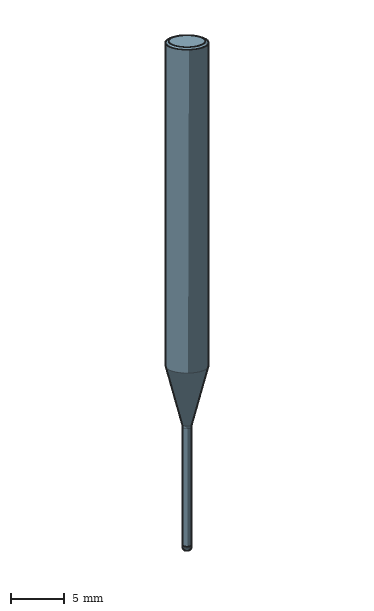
import cadquery as cq
import math

total_length = 50.0
shank_radius = 2.0
chamfer_width = 0.3
chamfer_height = 0.15

neck_radius = 0.425
cone_half_angle = math.radians(15)
shank_bottom = 18.15
blend_radius = 1.0

head_radius = 0.45
head_height = 0.55

cone_bottom = shank_bottom - (shank_radius - neck_radius) / math.tan(cone_half_angle)
blend_tangent = blend_radius * math.tan(cone_half_angle / 2)


def arc_point(center_radius, center_z, radius, angle):
    """Point on a profile arc, with the angle measured from the outward radial direction."""
    return center_radius + radius * math.cos(angle), center_z + radius * math.sin(angle)


def revolve_profile(profile):
    """Turn a closed half profile, drawn as (radius, height), around the Z axis."""
    return profile.close().revolve(360, (0, 0, 0), (0, 1, 0))


def make_shank():
    """Chamfered shank, cone and neck, with a concave blend between cone and neck."""
    blend_bottom = cone_bottom - blend_tangent
    blend_center_radius = neck_radius + blend_radius
    blend_middle = arc_point(
        blend_center_radius, blend_bottom, blend_radius, math.pi - cone_half_angle / 2
    )
    blend_top = arc_point(
        blend_center_radius, blend_bottom, blend_radius, math.pi - cone_half_angle
    )
    profile = (
        cq.Workplane("XZ")
        .moveTo(0, head_height)
        .lineTo(neck_radius, head_height)
        .lineTo(neck_radius, blend_bottom)
        .threePointArc(blend_middle, blend_top)
        .lineTo(shank_radius, shank_bottom)
        .lineTo(shank_radius, total_length - chamfer_height)
        .lineTo(shank_radius - chamfer_width, total_length)
        .lineTo(0, total_length)
    )
    return revolve_profile(profile)


def make_cutting_head():
    """Ball-nosed head that touches the lower end of the neck."""
    ball_middle = arc_point(0, head_radius, head_radius, -math.pi / 4)
    profile = (
        cq.Workplane("XZ")
        .moveTo(0, 0)
        .threePointArc(ball_middle, (head_radius, head_radius))
        .lineTo(head_radius, head_height)
        .lineTo(0, head_height)
    )
    return revolve_profile(profile)


shank = make_shank()
cutting_head = make_cutting_head()

result = cq.Compound.makeCompound([shank.val(), cutting_head.val()])